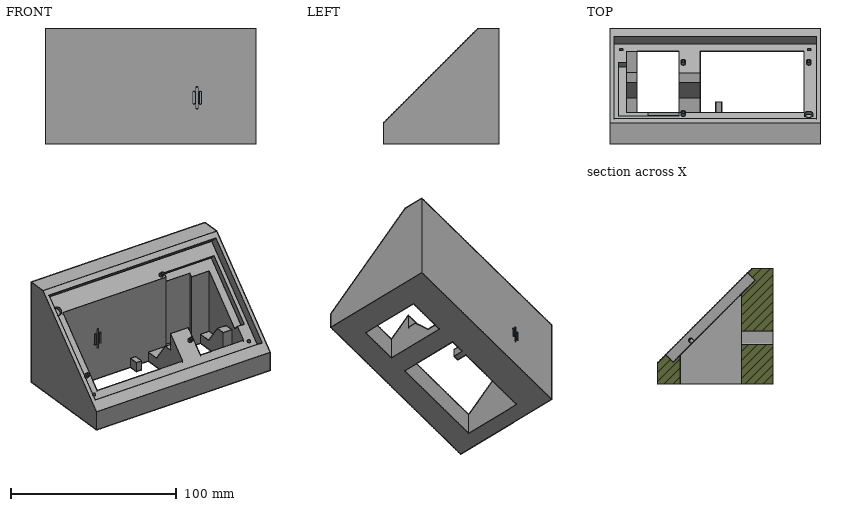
import cadquery as cq
import math

length = 127.0
depth = 69.8
height = 69.8
lip = 12.7
back_y = depth / 2
wall_y = -depth / 2
diagonal = math.sqrt(0.5)

tray_length = 121.9
tray_width = 69.8
tray_depth = 6.4
tray_start = 3.8

window_half_length = 53.5
window_back_y = 21.0
window_wall_y = -15.7
divider_left = -22.0
divider_right = -9.0
divider_back_y = 8.0

floor_height = 6.4
floor_ledge = 6.4
ridge_height = 12.7
ridge_back_y = 8.4
ridge_crest_y = 2.3
ridge_foot_y = -7.1
tab_left = 0.3
tab_width = 3.8
tab_reach = 6.4

step_left = -58.4
step_start = 8.8
step_end = 54.4
step_depth = 4.2
notch_left = -40.5
notch_wall_y = -17.5

pin_diameter = 2.5
pin_height = 3.0
pin_chamfer = 0.6
pin_places = [(-19.3, 53.1), (56.4, 53.1), (-19.3, 9.5)]
small_hole_diameter = 2.0
small_hole_depth = 3.8
small_hole_places = [(-56.6, 65.3), (56.6, 65.3)]
round_recess_diameter = 5.3
round_recess_depth = 2.5
round_recess_place = (56.4, 9.9)

slot_x = 28.0
slot_z = 28.0
slot_pitch = 1.9
slot_width = 1.0
long_slot = 13.5
short_slot = 7.6

floor_from_top = tray_start * diagonal
floor_drop = tray_depth * diagonal
tray_floor = cq.Plane(
    origin=(0, wall_y + lip + floor_from_top - floor_drop, height - floor_from_top - floor_drop),
    xDir=(1, 0, 0),
    normal=(0, 1, 1),
)


def block(x_min, x_max, y_min, y_max, z_min, z_max):
    """Upright box between the given limits."""
    size = (x_max - x_min, y_max - y_min, z_max - z_min)
    return cq.Workplane("XY").box(*size, centered=False).translate((x_min, y_min, z_min))


def sloped_block(x_min, x_max, start, end, bottom, top):
    """Box square to the slope, in the frame of the tray floor."""
    size = (x_max - x_min, end - start, top - bottom)
    corner = (x_min, start, bottom)
    return cq.Workplane(tray_floor).transformed(offset=corner).box(*size, centered=False)


def wedge():
    """Solid outer body."""
    outline = [
        (wall_y, 0),
        (back_y, 0),
        (back_y, lip),
        (wall_y + lip, height),
        (wall_y, height),
    ]
    return cq.Workplane("YZ").polyline(outline).close().extrude(length / 2, both=True)


def floor_with_ridge(x_min, x_max):
    """Stretch of the base floor carrying the ridge."""
    ridge_top = floor_height + ridge_height
    outline = [
        (window_wall_y, 0),
        (window_back_y, 0),
        (window_back_y, floor_height),
        (ridge_back_y, floor_height),
        (ridge_back_y, ridge_top),
        (ridge_crest_y, ridge_top),
        (ridge_foot_y, floor_height),
        (window_wall_y, floor_height),
    ]
    strip = cq.Workplane("YZ").polyline(outline).close().extrude(x_max - x_min)
    return strip.translate((x_min, 0, 0))


def windows():
    """Material removed below the tray by the two windows and the notch."""
    left = -window_half_length
    opening = block(left, window_half_length, window_wall_y, window_back_y, 0, height)
    notch = block(notch_left, divider_left, notch_wall_y, window_wall_y, floor_height, height)
    tab_end = tab_left + tab_width
    kept = [
        block(divider_left, divider_right, divider_back_y, window_back_y, 0, height),
        floor_with_ridge(divider_left, divider_right),
        floor_with_ridge(left, left + floor_ledge),
        block(tab_left, tab_end, window_wall_y, window_wall_y + tab_reach, 0, floor_height),
    ]
    for piece in kept:
        opening = opening.cut(piece)
    return opening.union(notch)


def slots():
    """Long slot between two short ones, through the tall wall only."""
    wall = cq.Workplane("XZ", origin=(slot_x, wall_y, slot_z))
    cutter = wall.slot2D(long_slot, slot_width, 90)
    cutter = cutter.pushPoints([(-slot_pitch, 0), (slot_pitch, 0)]).slot2D(short_slot, slot_width, 90)
    return cutter.extrude(wall_y - window_wall_y)


def pins():
    """Locating pins with chamfered tips, standing square to the tray floor."""
    shafts = cq.Workplane(tray_floor).pushPoints(pin_places).circle(pin_diameter / 2).extrude(pin_height)
    return shafts.faces(cq.selectors.DirectionMinMaxSelector(tray_floor.zDir)).chamfer(pin_chamfer)


def blind_holes(places, diameter, hole_depth):
    """Cutter for flat-bottomed holes in the tray floor."""
    return cq.Workplane(tray_floor).pushPoints(places).circle(diameter / 2).extrude(-hole_depth)


tray = sloped_block(-tray_length / 2, tray_length / 2, 0, tray_width, 0, tray_depth)
step = sloped_block(step_left, divider_left, step_start, step_end, -step_depth, 0)

result = (
    wedge()
    .cut(tray)
    .cut(windows())
    .cut(step)
    .cut(blind_holes(small_hole_places, small_hole_diameter, small_hole_depth))
    .cut(blind_holes([round_recess_place], round_recess_diameter, round_recess_depth))
    .cut(slots())
    .union(pins())
)